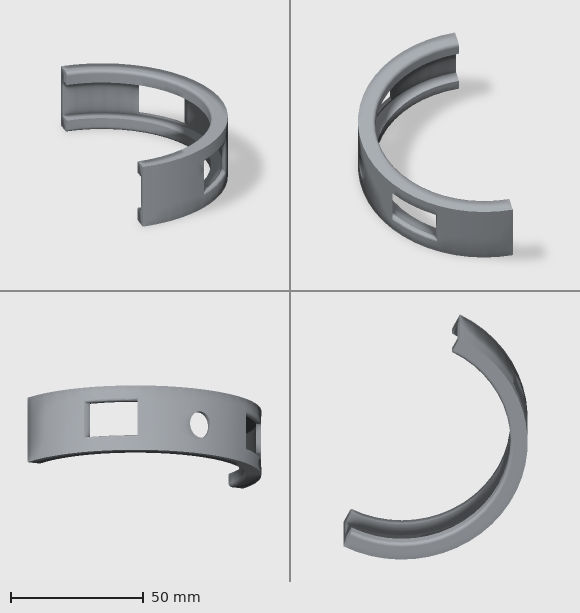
import cadquery as cq

outer_radius = 47.45
ring_height = 24.8

flange_radius = 41.0
groove_radius = 45.55
groove_height = 14.8
rim_fillet = 1.3

cut_overlap = 0.95

window_inner_x = 19.0
window_front_y = 27.2
window_back_y = 41.0
window_height = 13.2
window_fillet = 0.9

hole_width = 9.0
hole_height = 10.0
hole_z = -1.2


def half_ring(outer, inner, height):
    """Half ring on the +Y side, centred on Z = 0."""
    return (
        cq.Workplane("XY", origin=(0, 0, -height / 2))
        .moveTo(-outer, 0)
        .threePointArc((0, outer), (outer, 0))
        .lineTo(inner, 0)
        .threePointArc((0, inner), (-inner, 0))
        .close()
        .extrude(height)
    )


def channel_ring():
    """Half ring with rounded inner rims and a groove along its inner wall."""
    body = half_ring(outer_radius, flange_radius, ring_height)
    body = body.edges("%CIRCLE").edges(cq.selectors.RadiusNthSelector(0)).fillet(rim_fillet)
    return body.cut(half_ring(groove_radius, flange_radius - cut_overlap, groove_height))


def window_cutter(side):
    """Box that opens the wall; side is -1 for -X and 1 for +X."""
    length = outer_radius - window_inner_x
    depth = window_back_y - window_front_y
    center_x = side * (window_inner_x + length / 2)
    center_y = window_front_y + depth / 2
    return cq.Workplane("XY").box(length, depth, window_height).translate((center_x, center_y, 0))


def round_window_edges(body):
    """Round the top and bottom window edges on the outer wall."""
    half = window_height / 2
    margin = 0.01
    outer_edges = [
        edge
        for edge in body.edges("%CIRCLE").vals()
        if abs(edge.radius() - outer_radius) < margin and abs(abs(edge.Center().z) - half) < margin
    ]
    return body.newObject(outer_edges).fillet(window_fillet)


def oval_hole():
    """Oval cutter running along Y through the middle of the wall."""
    return (
        cq.Workplane("XZ")
        .center(0, hole_z)
        .ellipse(hole_width / 2, hole_height / 2)
        .extrude(-outer_radius - cut_overlap)
    )


result = channel_ring()
for side in (-1, 1):
    result = result.cut(window_cutter(side))
result = round_window_edges(result)
result = result.cut(oval_hole())